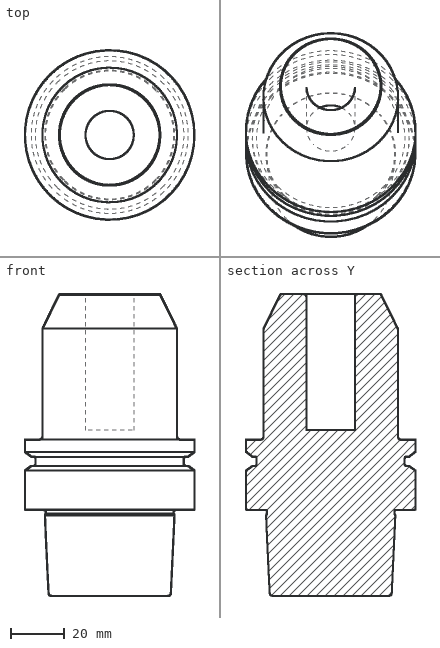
import cadquery as cq

TOTAL_HEIGHT = 111.9

SHANK_BOTTOM_RADIUS = 22.7
SHANK_TOP_RADIUS = 24.1
SHANK_TOP = 29.9
SHANK_EDGE_FILLET = 1.1

RELIEF_RADIUS = 23.7
RELIEF_FLOOR_BOTTOM = 30.5
RELIEF_FILLET = 0.6

FLANGE_RADIUS = 31.4
FLANGE_BOTTOM = 31.8
FLANGE_TOP = 58.0
FLANGE_EDGE_CHAMFER = 0.3

GROOVE_CENTER = 49.9
GROOVE_MOUTH_WIDTH = 6.8
GROOVE_INNER_WIDTH = 3.4
GROOVE_INNER_RADIUS = 29.1
GROOVE_FLOOR_RADIUS = 27.5
GROOVE_FILLET = 0.6

BODY_RADIUS = 25.0
BODY_FILLET = 1.2
NOSE_RADIUS = 18.8
NOSE_HEIGHT = 12.9
NOSE_EDGE_CHAMFER = 0.3

BORE_RADIUS = 9.0
BORE_DEPTH = 50.4
BORE_FILLET = 1.0


def revolve(outline):
    """Close a half outline drawn in the XZ plane and turn it about the Z axis."""
    return outline.close().revolve(360, (0, 0), (0, 1))


def make_body():
    """Solid of revolution from the shank end up to the nose face."""
    nose_bottom = TOTAL_HEIGHT - NOSE_HEIGHT
    return revolve(
        cq.Workplane("XZ")
        .lineTo(SHANK_BOTTOM_RADIUS - SHANK_EDGE_FILLET, 0)
        .radiusArc((SHANK_BOTTOM_RADIUS, SHANK_EDGE_FILLET), -SHANK_EDGE_FILLET)
        .lineTo(SHANK_TOP_RADIUS, SHANK_TOP)
        .lineTo(RELIEF_RADIUS, RELIEF_FLOOR_BOTTOM)
        .lineTo(RELIEF_RADIUS, FLANGE_BOTTOM - RELIEF_FILLET)
        .radiusArc((RELIEF_RADIUS + RELIEF_FILLET, FLANGE_BOTTOM), RELIEF_FILLET)
        .lineTo(FLANGE_RADIUS - FLANGE_EDGE_CHAMFER, FLANGE_BOTTOM)
        .lineTo(FLANGE_RADIUS, FLANGE_BOTTOM + FLANGE_EDGE_CHAMFER)
        .lineTo(FLANGE_RADIUS, FLANGE_TOP)
        .lineTo(BODY_RADIUS + BODY_FILLET, FLANGE_TOP)
        .radiusArc((BODY_RADIUS, FLANGE_TOP + BODY_FILLET), BODY_FILLET)
        .lineTo(BODY_RADIUS, nose_bottom)
        .lineTo(NOSE_RADIUS, TOTAL_HEIGHT - NOSE_EDGE_CHAMFER)
        .lineTo(NOSE_RADIUS - NOSE_EDGE_CHAMFER, TOTAL_HEIGHT)
        .lineTo(0, TOTAL_HEIGHT)
    )


def make_groove():
    """Ring removed for the gripper groove, with rounded floor corners."""
    mouth_bottom = GROOVE_CENTER - GROOVE_MOUTH_WIDTH / 2
    mouth_top = GROOVE_CENTER + GROOVE_MOUTH_WIDTH / 2
    inner_bottom = GROOVE_CENTER - GROOVE_INNER_WIDTH / 2
    inner_top = GROOVE_CENTER + GROOVE_INNER_WIDTH / 2
    return revolve(
        cq.Workplane("XZ")
        .moveTo(FLANGE_RADIUS, mouth_bottom)
        .lineTo(GROOVE_INNER_RADIUS, inner_bottom)
        .lineTo(GROOVE_FLOOR_RADIUS + GROOVE_FILLET, inner_bottom)
        .radiusArc((GROOVE_FLOOR_RADIUS, inner_bottom + GROOVE_FILLET), GROOVE_FILLET)
        .lineTo(GROOVE_FLOOR_RADIUS, inner_top - GROOVE_FILLET)
        .radiusArc((GROOVE_FLOOR_RADIUS + GROOVE_FILLET, inner_top), GROOVE_FILLET)
        .lineTo(GROOVE_INNER_RADIUS, inner_top)
        .lineTo(FLANGE_RADIUS, mouth_top)
    )


def make_bore():
    """Blind bore whose mouth widens over a rounded lip."""
    bore_bottom = TOTAL_HEIGHT - BORE_DEPTH
    return revolve(
        cq.Workplane("XZ")
        .moveTo(0, bore_bottom)
        .lineTo(BORE_RADIUS, bore_bottom)
        .lineTo(BORE_RADIUS, TOTAL_HEIGHT - BORE_FILLET)
        .radiusArc((BORE_RADIUS + BORE_FILLET, TOTAL_HEIGHT), BORE_FILLET)
        .lineTo(0, TOTAL_HEIGHT)
    )


result = make_body().cut(make_groove()).cut(make_bore())